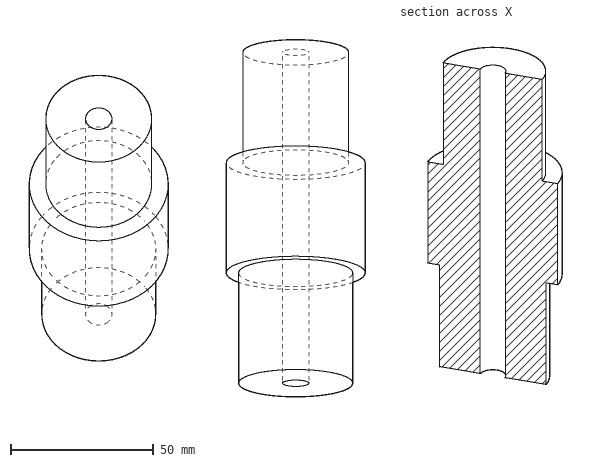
import cadquery as cq

total_length = 120.0
section_count = 3
section_length = total_length / section_count

lower_diameter = 40.2
collar_diameter = 49.0
upper_diameter = 37.3
bore_diameter = 9.2

shaft = (
    cq.Workplane("XY")
    .circle(lower_diameter / 2)
    .extrude(section_length)
    .faces(">Z")
    .workplane()
    .circle(collar_diameter / 2)
    .extrude(section_length)
    .faces(">Z")
    .workplane()
    .circle(upper_diameter / 2)
    .extrude(section_length)
)

result = shaft.faces(">Z").workplane().hole(bore_diameter)